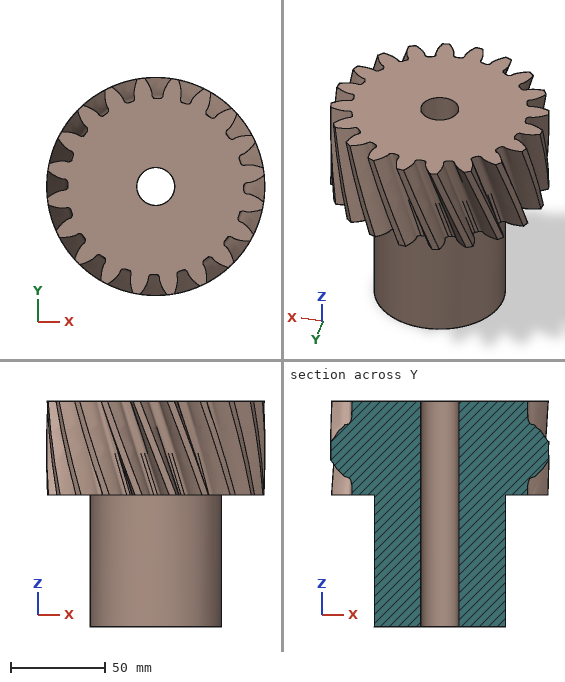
import cadquery as cq
import math

total_height = 120.0
face_width = 50.0
hub_diameter = 70.0
bore_diameter = 20.0

tooth_count = 20
tip_diameter = 116.0
helix_angle = math.radians(19.5)
pressure_angle = math.radians(20)
root_fillet = 1.9
flank_steps = 6

addendum_factor = 1.0
dedendum_factor = 1.25
pitch_diameter = tip_diameter / (1 + 2 * addendum_factor * math.cos(helix_angle) / tooth_count)
normal_module = pitch_diameter * math.cos(helix_angle) / tooth_count

pitch_radius = pitch_diameter / 2
tip_radius = tip_diameter / 2
root_radius = pitch_radius - dedendum_factor * normal_module
transverse_angle = math.atan(math.tan(pressure_angle) / math.cos(helix_angle))
base_radius = pitch_radius * math.cos(transverse_angle)
hub_height = total_height - face_width

tooth_pitch = 2 * math.pi / tooth_count
twist = math.degrees(face_width * math.tan(helix_angle) / pitch_radius)


def involute(angle):
    """Polar angle of an involute where its pressure angle is the given angle."""
    return math.tan(angle) - angle


def tooth_half_angle(radius):
    """Half of the angle that one tooth spans at a radius on its involute flank."""
    flank_angle = math.acos(base_radius / radius)
    return tooth_pitch / 4 + involute(transverse_angle) - involute(flank_angle)


def polar(radius, angle):
    """X and Y of the point at a radius and angle about the gear axis."""
    return (radius * math.cos(angle), radius * math.sin(angle))


base_half_angle = tooth_half_angle(base_radius)
fillet_centre_radius = root_radius + root_fillet
fillet_span = math.asin(root_fillet / fillet_centre_radius)
fillet_centre_angle = base_half_angle + fillet_span
foot_radius = fillet_centre_radius * math.cos(fillet_span)


def flank(tooth_centre, side):
    """Points of one flank from the root fillet to the tip; side is -1 or +1."""
    points = [polar(foot_radius, tooth_centre + side * base_half_angle)]
    for step in range(flank_steps + 1):
        radius = base_radius + (tip_radius - base_radius) * (step / flank_steps) ** 2
        points.append(polar(radius, tooth_centre + side * tooth_half_angle(radius)))
    return points


def fillet_middle(tooth_centre, side):
    """Point halfway along the root fillet on one side of a tooth."""
    centre_angle = tooth_centre + side * fillet_centre_angle
    centre_x, centre_y = polar(fillet_centre_radius, centre_angle)
    facing_flank = tooth_centre + side * (base_half_angle - math.pi / 2)
    facing_axis = centre_angle - side * math.pi
    offset_x, offset_y = polar(root_fillet, (facing_flank + facing_axis) / 2)
    return (centre_x + offset_x, centre_y + offset_y)


def gear_outline():
    """Closed outline of the toothed rim, with one tooth centred on +X."""
    outline = cq.Workplane("XY").moveTo(*polar(root_radius, -fillet_centre_angle))
    for i in range(tooth_count):
        centre = i * tooth_pitch
        rising = flank(centre, -1)
        falling = flank(centre, 1)[::-1]
        gap_middle = polar(root_radius, centre + tooth_pitch / 2)
        next_tooth = polar(root_radius, centre + tooth_pitch - fillet_centre_angle)
        outline = (
            outline
            .threePointArc(fillet_middle(centre, -1), rising[0])
            .spline(rising[1:], includeCurrent=True)
            .threePointArc(polar(tip_radius, centre), falling[0])
            .spline(falling[1:], includeCurrent=True)
            .threePointArc(fillet_middle(centre, 1), polar(root_radius, centre + fillet_centre_angle))
            .threePointArc(gap_middle, next_tooth)
        )
    return outline.close()


gear = (
    gear_outline()
    .twistExtrude(face_width, -twist)
    .rotate((0, 0, 0), (0, 0, 1), math.degrees(tooth_pitch / 2))
    .translate((0, 0, hub_height))
)
hub = cq.Workplane("XY").circle(hub_diameter / 2).extrude(hub_height)
bore = cq.Workplane("XY").circle(bore_diameter / 2).extrude(total_height)

result = gear.union(hub).cut(bore)